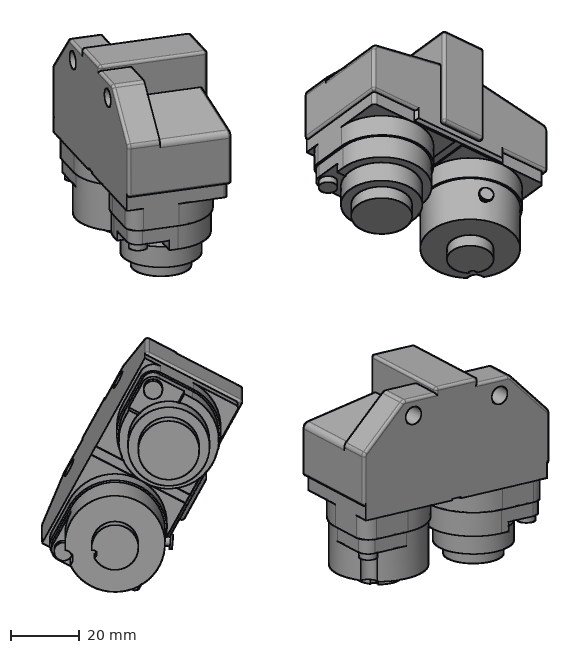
import cadquery as cq
import math


cap_half_width = 32.5
edge_radius = 0.9
eave_radius = 2.0
overlap = 0.65

cap_bottom = 4.3
eave_height = 20.6
shoulder_height = 34.45
front_depth = 9.95
cap_depth = 31.9
rear_roof_angle = 10.0
shoulder_half_width = cap_half_width - (shoulder_height - eave_height)
rear_apex_height = eave_height + cap_half_width * math.tan(math.radians(rear_roof_angle))

hole_offset = 15.0
hole_height = 29.05
hole_radius = 2.7

ridge_half_width = 7.5
ridge_depth = 33.5
ridge_bottom = 3.45
ridge_top = 36.1

axis_x = 16.5
axis_y = 15.9
collar_radius = 15.1
collar_bottom = -6.9
collar_corner_radius = 4.2
barrel_radius = 14.5
barrel_corner_radius = 3.45
lug_bottom = -11.45
screw_offset = barrel_radius - barrel_corner_radius
screw_radius = 2.7
screw_bottom = -13.6

foot_half_width = cap_half_width - edge_radius
foot_top = 13.0
foot_back = cap_depth - edge_radius
foot_corner_radius = 1.1
slot_half_width = axis_x - collar_radius
slot_depth = 0.45
tab_half_width = axis_x
tab_bottom = 0.6

left_barrel_bottom = -21.6
plug_radius = 6.75
plug_bottom = -25.4
plug_notch_radius = 1.2
knob_angle = 22.5
knob_height = -13.6
knob_shaft_radius = 1.35
knob_head_radius = 2.15
knob_head_start = 16.05
knob_head_end = 16.8

right_barrel_bottom = -14.4
relief_offset = 2.6
middle_step_radius = 11.8
middle_step_bottom = -20.9
end_step_radius = 8.85
end_step_bottom = -25.0


def box(x_range, y_range, z_range):
    """Box between the given limits."""
    lows, highs = zip(x_range, y_range, z_range)
    sizes = [high - low for low, high in zip(lows, highs)]
    return cq.Workplane("XY").box(*sizes, centered=False).translate(lows)


def cylinder(x, y, radius, bottom, top):
    """Upright cylinder."""
    return cq.Workplane("XY", origin=(x, y, bottom)).circle(radius).extrude(top - bottom)


def cap_prism(right_roof_points, y_start, y_end):
    """Mirrored profile, eave to eave, extruded along Y."""
    left_roof_points = [(-x, z) for x, z in reversed(right_roof_points) if x > 0]
    outline = [(-cap_half_width, cap_bottom), (cap_half_width, cap_bottom)]
    outline += right_roof_points + left_roof_points
    plane = cq.Workplane("XZ", origin=(0, y_start, 0))
    return plane.polyline(outline).close().extrude(y_start - y_end)


def round_cap(prism, eave_edges, end_face):
    """Round the roof bends, then the end face outline and the two lower side edges."""
    prism = prism.edges(eave_edges).fillet(eave_radius)
    lower_sides = prism.faces("<Z").edges("|Y")
    return prism.faces(end_face).edges().add(lower_sides).fillet(edge_radius)


def make_cap():
    front_roof = [(cap_half_width, eave_height), (shoulder_half_width, shoulder_height)]
    front = cap_prism(front_roof, 0, front_depth)
    front = round_cap(front, "|Y and (not <Z)", "<Y")
    for x in (-hole_offset, hole_offset):
        hole = cq.Workplane("XZ", origin=(x, 0, hole_height)).circle(hole_radius).extrude(-front_depth)
        front = front.cut(hole)

    rear_roof = [(cap_half_width, eave_height), (0, rear_apex_height)]
    rear = cap_prism(rear_roof, front_depth, cap_depth)
    rear = round_cap(rear, "(<X or >X) and (not <Z) and |Y", ">Y")
    return front.union(rear)


def make_ridge():
    ridge = box((-ridge_half_width, ridge_half_width), (0, ridge_depth), (ridge_bottom, ridge_top))
    return ridge.edges().fillet(edge_radius)


def make_foot():
    foot = box((-foot_half_width, foot_half_width), (0, foot_back), (0, foot_top))
    foot = foot.edges(">Y and |Z").fillet(foot_corner_radius)
    tab = box((-tab_half_width, tab_half_width), (front_depth, cap_depth), (tab_bottom, foot_top))
    tab = tab.faces(">Y").edges().chamfer(edge_radius)
    slot = box((-slot_half_width, slot_half_width), (0, cap_depth), (0, slot_depth))
    return foot.union(tab).cut(slot)


def lugged_round(side, radius, corner_radius, bottom, top):
    """Cylinder with one rounded square corner toward the front and the outer side (side = -1 or 1)."""
    x = side * axis_x
    outer = x + side * radius
    corner = box(sorted((x, outer)), (axis_y - radius, axis_y), (bottom, top))
    outer_edge = "<X" if side < 0 else ">X"
    corner = corner.edges(f"|Z and {outer_edge} and <Y").fillet(corner_radius)
    return cylinder(x, axis_y, radius, bottom, top).union(corner)


def make_collar(side):
    return lugged_round(side, collar_radius, collar_corner_radius, collar_bottom, overlap)


def make_screw(side):
    x = side * (axis_x + screw_offset)
    return cylinder(x, axis_y - screw_offset, screw_radius, screw_bottom, lug_bottom + overlap)


def make_knob():
    """Headed knob that points back and inward from the left barrel."""
    turn = math.radians(knob_angle)
    direction = cq.Vector(math.sin(turn), math.cos(turn), 0)
    axis_point = cq.Vector(-axis_x, axis_y, knob_height)
    head_point = axis_point + direction * knob_head_start
    head_thickness = knob_head_end - knob_head_start
    shaft = cq.Solid.makeCylinder(knob_shaft_radius, knob_head_end, axis_point, direction)
    head = cq.Solid.makeCylinder(knob_head_radius, head_thickness, head_point, direction)
    return cq.Workplane(shaft).union(cq.Workplane(head))


def make_left_connector():
    barrel = cylinder(-axis_x, axis_y, barrel_radius, left_barrel_bottom, lug_bottom)
    notch = cylinder(-axis_x - screw_offset, axis_y - screw_offset, screw_radius,
                     left_barrel_bottom, lug_bottom)
    lug = lugged_round(-1, barrel_radius, barrel_corner_radius, lug_bottom, collar_bottom)
    connector = make_collar(-1).union(lug).union(barrel.cut(notch))
    return connector.union(make_screw(-1)).union(make_knob())


def make_right_connector():
    lug = lugged_round(1, barrel_radius, barrel_corner_radius, right_barrel_bottom, collar_bottom)
    relief = box((axis_x + relief_offset, cap_half_width), (0, axis_y - relief_offset),
                 (right_barrel_bottom, lug_bottom))
    connector = make_collar(1).union(lug.cut(relief))
    steps = [
        (middle_step_radius, middle_step_bottom, right_barrel_bottom),
        (end_step_radius, end_step_bottom, middle_step_bottom),
    ]
    for radius, bottom, top in steps:
        connector = connector.union(cylinder(axis_x, axis_y, radius, bottom, top))
    return connector.union(make_screw(1))


def make_housing():
    housing = make_cap().union(make_ridge()).union(make_foot())
    return housing.union(make_left_connector()).union(make_right_connector()).clean()


def make_plug():
    """Notched plug that stands against the end of the left barrel."""
    plug = cylinder(-axis_x, axis_y, plug_radius, plug_bottom, left_barrel_bottom)
    notch_offset = plug_radius * math.sqrt(0.5)
    notch = cylinder(-axis_x - notch_offset, axis_y - notch_offset, plug_notch_radius,
                     plug_bottom, left_barrel_bottom)
    return plug.cut(notch)


housing = make_housing()
plug = make_plug()

result = cq.Compound.makeCompound([housing.solids().val(), plug.val()])